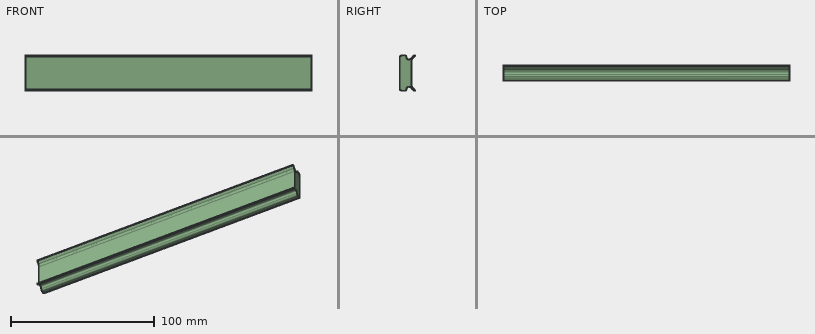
import cadquery as cq
import math

length = 200.0
depth = 11.0
height = 25.0

top = height / 2

back_face = 8.5
crown_front = 2.2
crown_rear = 3.5
front_radius = 2.8
front_drop = front_radius - math.sqrt(front_radius**2 - crown_front**2)

wall_radius = 1.45
wall_y = crown_rear + wall_radius
floor_front = wall_y + wall_radius
floor_z = top - 2 * wall_radius

lip_angle = math.radians(45)
lip_tip = 0.8
tip_drop = 0.3
underside_radius = 3.0


def along_lip(distance):
    """Y and Z components of a distance measured along the lip."""
    return distance * math.cos(lip_angle), distance * math.sin(lip_angle)


inner_corner_y = depth - lip_tip - (top - floor_z) / math.tan(lip_angle)
inner_dy, inner_dz = along_lip(inner_corner_y - floor_front)
lip_inner_root = (inner_corner_y + inner_dy, floor_z + inner_dz)

outer_corner_z = top - tip_drop - (depth - back_face) * math.tan(lip_angle)
outer_tangent = underside_radius * math.tan((math.pi / 2 - lip_angle) / 2)
outer_dy, outer_dz = along_lip(outer_tangent)
lip_outer_root = (back_face + outer_dy, outer_corner_z + outer_dz)

upper = (
    cq.Workplane("YZ")
    .lineTo(0, top - front_drop)
    .radiusArc((crown_front, top), front_radius)
    .lineTo(crown_rear, top)
    .tangentArcPoint((wall_y, top - wall_radius), relative=False)
    .tangentArcPoint((floor_front, floor_z), relative=False)
    .tangentArcPoint(lip_inner_root, relative=False)
    .lineTo(depth - lip_tip, top)
    .lineTo(depth, top - tip_drop)
    .lineTo(*lip_outer_root)
    .tangentArcPoint((back_face, outer_corner_z - outer_tangent), relative=False)
    .lineTo(back_face, 0)
    .close()
    .extrude(length)
)

lower = upper.mirror("XY")
result = upper.union(lower).clean().translate((-length / 2, -depth / 2, 0))